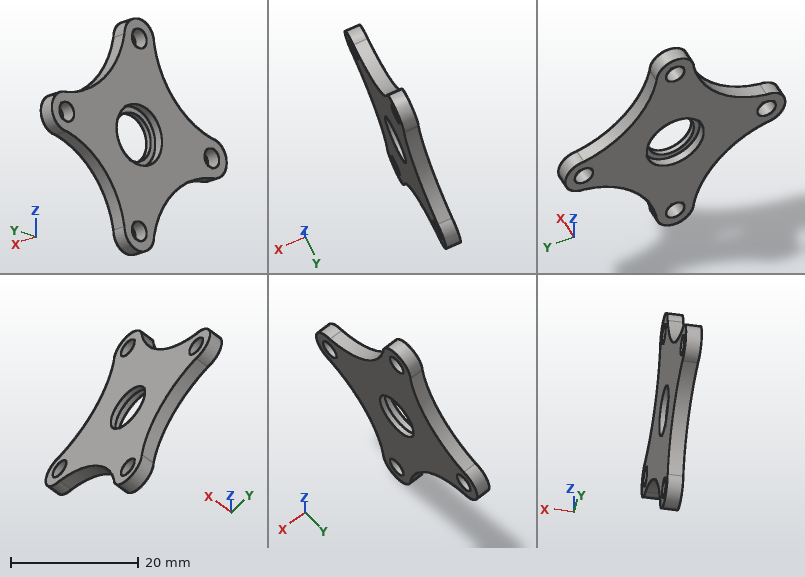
import cadquery as cq
import math

span = 38.6
thickness = 2.5

arm_count = 4
tip_radius = 3.3
hole_offset = span / 2 - tip_radius
hole_diameter = 3.2

waist_radius = 10.9

bore_diameter = 8.0
counterbore_diameter = 10.0
counterbore_depth = 1.5


def polar(radius, angle):
    """Point at a polar position, with the angle in degrees."""
    radians = math.radians(angle)
    return (radius * math.cos(radians), radius * math.sin(radians))


def star_outline():
    """Four rounded tips joined by concave arcs, in the YZ plane."""
    arm_step = 360 / arm_count
    corner_radius = math.hypot(hole_offset, tip_radius)
    corner_angle = math.degrees(math.atan2(tip_radius, hole_offset))
    outline = cq.Workplane("YZ").moveTo(*polar(corner_radius, -corner_angle))
    for arm in range(arm_count):
        angle = arm * arm_step
        outline = outline.threePointArc(
            polar(span / 2, angle), polar(corner_radius, angle + corner_angle)
        )
        outline = outline.threePointArc(
            polar(waist_radius, angle + arm_step / 2),
            polar(corner_radius, angle + arm_step - corner_angle),
        )
    return outline.close()


def cylinder_cut(diameter, depth):
    """Cylinder entering the plate from the -X face."""
    return cq.Workplane("YZ").circle(diameter / 2).extrude(depth)


plate = star_outline().extrude(thickness)

mounting_holes = (
    cq.Workplane("YZ")
    .polarArray(hole_offset, 0, 360, arm_count)
    .circle(hole_diameter / 2)
    .extrude(thickness)
)

result = (
    plate.cut(mounting_holes)
    .cut(cylinder_cut(bore_diameter, thickness))
    .cut(cylinder_cut(counterbore_diameter, counterbore_depth))
    .translate((-thickness / 2, 0, 0))
)